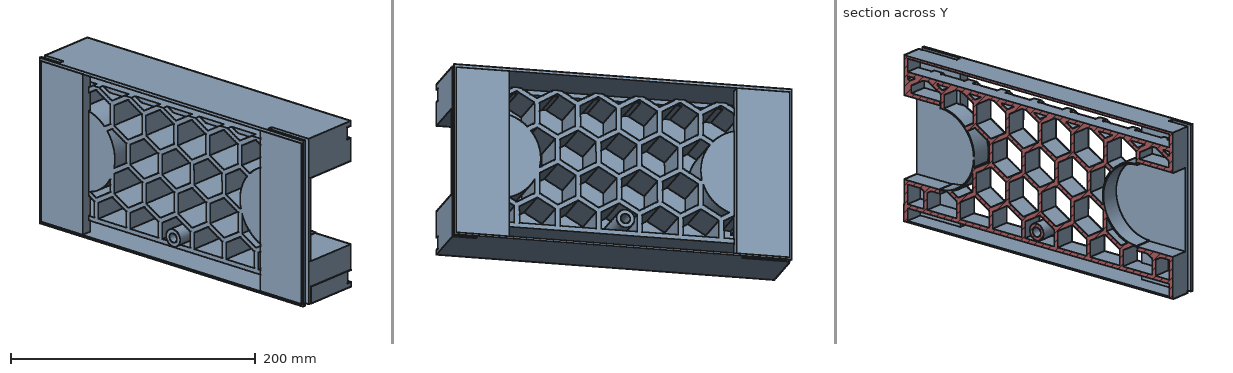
import cadquery as cq
import math

TOTAL_LENGTH = 285.0
DEPTH = 60.0
HEIGHT = 145.5

HOUSING_LENGTH = 284.5
RAIL_HEIGHT = 14.8

FRONT_FLANGE_BACK = 2.5
END_SLOT_BACK = 6.8
REAR_FLANGE_BACK = 9.7
LEFT_SLOT_DEPTH = 20.0
RIGHT_SLOT_DEPTH = 40.0

RIM_SIDE = 1.7
RIM_BOTTOM = 1.7
RIM_TOP = 2.5
RIM_STEP = 0.3
FIELD_TOP = HEIGHT - RIM_TOP

PANEL_EDGE = 46.5
FAR_PANEL_EDGE = HOUSING_LENGTH - PANEL_EDGE

CORE_FRONT = 7.7
CORE_BACK = 51.3
CORE_BOTTOM = 12.3
CORE_TOP = 131.7
BORDER = 4.0
TOP_BORDER_FRONT = 12.5
CELL_PITCH = 34.5
CELL_WALL = 4.3
CELL_RADIUS = (CELL_PITCH - CELL_WALL) / math.sqrt(3)
ROW_PITCH = CELL_PITCH * math.sqrt(3) / 2
CELL_ROWS = 5
CELL_COLUMNS = 9
LATTICE_X = 140.5
LATTICE_Z = 141.5
LATTICE_TILT = 0.2
HEXAGON_SIDES = 6

CUTOUT_X = 38.2
CUTOUT_Z = 72.7
CUTOUT_RADIUS = 35.0
CUTOUT_BOTTOM = 37.0
CUTOUT_TOP = 110.0
CUTOUT_SHELL_RADIUS = 36.5

BOSS_X = 144.2
BOSS_Z = 24.2
BOSS_DIAMETER = 15.0
BOSS_HOLE_DIAMETER = 8.0

GROOVE_DEPTH = 4.5
LOWER_GROOVE = (4.0, 14.5)
UPPER_GROOVE = (130.3, 140.8)


def block(x0, x1, y0, y1, z0, z1):
    """Box between two opposite corners."""
    return cq.Workplane("XY").box(x1 - x0, y1 - y0, z1 - z0, centered=False).translate((x0, y0, z0))


def rod(x, z, radius, y0, y1):
    """Cylinder along Y."""
    return cq.Workplane("XZ", origin=(x, y0, z)).circle(radius).extrude(y0 - y1)


def mirrored(shape):
    """Copy reflected to the other end of the housing."""
    return shape.mirror("YZ", (HOUSING_LENGTH / 2, 0, 0))


def housing():
    body = block(0, HOUSING_LENGTH, 0, DEPTH, 0, HEIGHT)
    body = body.union(block(0, TOTAL_LENGTH, REAR_FLANGE_BACK, DEPTH, 0, RAIL_HEIGHT))
    slot_span = (FRONT_FLANGE_BACK, END_SLOT_BACK, 0, HEIGHT)
    body = body.cut(block(0, LEFT_SLOT_DEPTH, *slot_span))
    body = body.cut(block(HOUSING_LENGTH - RIGHT_SLOT_DEPTH, HOUSING_LENGTH, *slot_span))
    for bottom, top in (LOWER_GROOVE, UPPER_GROOVE):
        body = body.cut(block(0, TOTAL_LENGTH, DEPTH - GROOVE_DEPTH, DEPTH, bottom, top))
    return body


def front_recess():
    """Shallow field inside the rim, with the deeper window between the panels."""
    field = block(RIM_SIDE, HOUSING_LENGTH - RIM_SIDE, 0, RIM_STEP, RIM_BOTTOM, FIELD_TOP)
    window = block(PANEL_EDGE, FAR_PANEL_EDGE, 0, CORE_FRONT, RIM_BOTTOM, FIELD_TOP)
    return field.union(window)


def core_span(front, bottom, top):
    """Space seen through the window that widens behind the panels to the end walls."""
    window = block(PANEL_EDGE, FAR_PANEL_EDGE, front, REAR_FLANGE_BACK, bottom, top)
    behind = block(BORDER, HOUSING_LENGTH - BORDER, REAR_FLANGE_BACK, CORE_BACK, bottom, top)
    return window.union(behind)


def core_gaps():
    """Free spaces below and above the honeycomb core."""
    below = core_span(0, RIM_BOTTOM, CORE_BOTTOM)
    above = core_span(0, CORE_TOP, FIELD_TOP)
    return below.union(above)


def cutout():
    """Straight slot from the -X end that finishes in a half round."""
    slot = block(0, CUTOUT_X, REAR_FLANGE_BACK, DEPTH, CUTOUT_BOTTOM, CUTOUT_TOP)
    return slot.union(rod(CUTOUT_X, CUTOUT_Z, CUTOUT_RADIUS, REAR_FLANGE_BACK, DEPTH))


def cutout_shell():
    """Material kept around a cutout, where no cells are made."""
    walls = block(0, CUTOUT_X, 0, DEPTH, CUTOUT_BOTTOM - BORDER, CUTOUT_TOP + BORDER)
    return walls.union(rod(CUTOUT_X, CUTOUT_Z, CUTOUT_SHELL_RADIUS, 0, DEPTH))


def lattice():
    """Staggered hexagonal prisms; the top row is only partly inside the core."""
    centres = []
    for row in range(CELL_ROWS):
        stagger = (row % 2) * CELL_PITCH / 2
        for column in range(CELL_COLUMNS):
            offset = (column - CELL_COLUMNS // 2) * CELL_PITCH + stagger
            centres.append((offset, -row * ROW_PITCH))
    angles = [2 * math.pi * k / HEXAGON_SIDES for k in range(HEXAGON_SIDES)]
    corners = [(CELL_RADIUS * math.sin(a), CELL_RADIUS * math.cos(a)) for a in angles]
    prisms = cq.Workplane("XZ")
    for x, z in centres:
        outline = [(x + dx, z + dz) for dx, dz in corners]
        prisms = prisms.add(cq.Workplane("XZ").polyline(outline).close().extrude(-DEPTH))
    prisms = prisms.combine()
    return prisms.rotate((0, 0, 0), (0, 1, 0), -LATTICE_TILT).translate((LATTICE_X, 0, LATTICE_Z))


def cells():
    """Cells clipped to the core border and kept clear of the cutouts."""
    span = core_span(CORE_FRONT, CORE_BOTTOM + BORDER, CORE_TOP)
    top_border = block(0, HOUSING_LENGTH, TOP_BORDER_FRONT, DEPTH, CORE_TOP - BORDER, CORE_TOP)
    span = span.cut(top_border)
    span = span.cut(cutout_shell()).cut(mirrored(cutout_shell()))
    return lattice().intersect(span)


result = housing().cut(front_recess()).cut(core_gaps()).cut(cells())
result = result.cut(cutout()).cut(mirrored(cutout()))
result = result.union(rod(BOSS_X, BOSS_Z, BOSS_DIAMETER / 2, 0, CORE_BACK))
result = result.cut(rod(BOSS_X, BOSS_Z, BOSS_HOLE_DIAMETER / 2, 0, DEPTH))